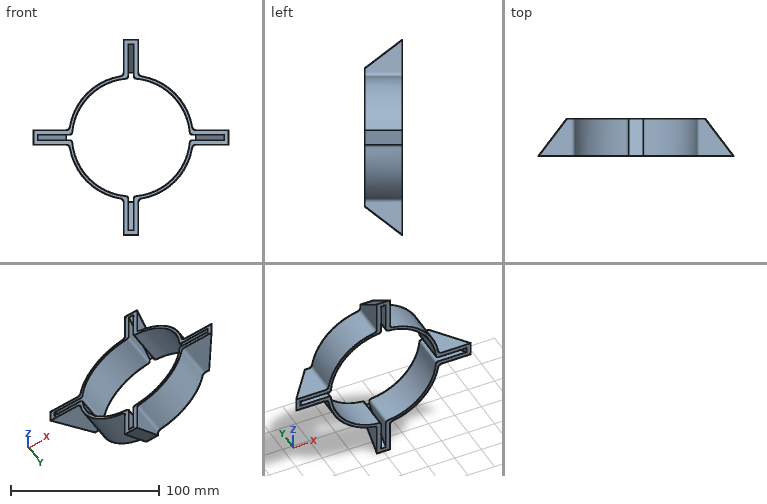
import cadquery as cq
import math

span = 132.0
depth = 25.4
ring_outer_radius = 42.0
ring_inner_radius = 39.8
fin_width = 9.9
fin_wall = 3.2
fin_back_radius = 46.7
root_fillet = 2.6
mouth_fillet = 2.0

tip_radius = span / 2
slot_width = fin_width - 2 * fin_wall
front = -depth / 2
back = depth / 2
fin_angles = (0, 90, 180, 270)


def disk(radius):
    """Cylinder along Y, from the front face to the back face."""
    return cq.Workplane("XZ").circle(radius).extrude(depth / 2, both=True)


def tapered_arms(width, front_radius, back_radius):
    """Four radial arms from the axis, each longest at the front face."""
    arm = (
        cq.Workplane("XY")
        .polyline([(0, front), (front_radius, front), (back_radius, back), (0, back)])
        .close()
        .extrude(width / 2, both=True)
    )
    arms = arm
    for angle in fin_angles[1:]:
        arms = arms.union(arm.rotate((0, 0, 0), (0, 1, 0), angle))
    return arms


def fillet_corners(body, corner_radius, half_width, fillet):
    """Round the axial edges where arms of the given half width meet a cylinder."""
    along = math.sqrt(corner_radius**2 - half_width**2)
    tolerance = 0.01

    def is_corner(edge):
        center = edge.Center()
        near, far = sorted((abs(center.x), abs(center.z)))
        return abs(near - half_width) < tolerance and abs(far - along) < tolerance

    corners = [edge for edge in body.edges("|Y").vals() if is_corner(edge)]
    return body.newObject(corners).fillet(fillet)


body = disk(ring_outer_radius).union(tapered_arms(fin_width, tip_radius, fin_back_radius))
body = fillet_corners(body, ring_outer_radius, fin_width / 2, root_fillet)

body = body.cut(disk(ring_inner_radius))
body = body.cut(tapered_arms(slot_width, tip_radius - fin_wall, fin_back_radius - fin_wall))

result = fillet_corners(body, ring_inner_radius, slot_width / 2, mouth_fillet)